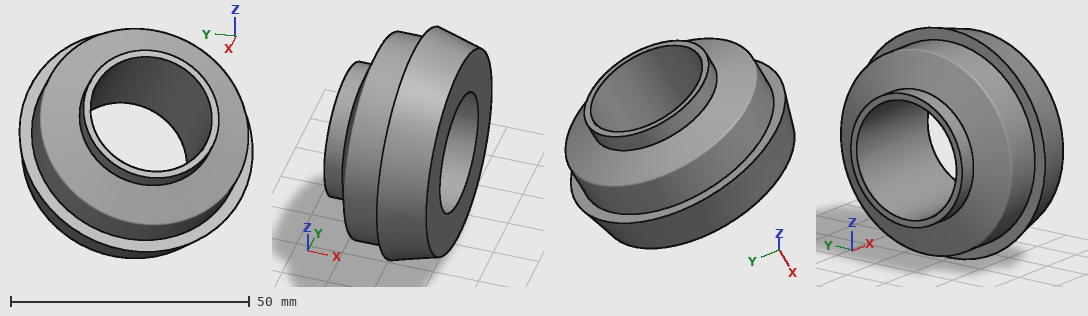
import cadquery as cq
import math

total_length = 25.0
neck_length = 4.0
collar_length = 10.0
collar_start = total_length - collar_length

bore_radius = 13.0
neck_radius = 14.5
body_radius = 22.35
collar_radius = 25.0

shoulder_angle = 20.0
collar_taper = 15.0
shoulder_round = 0.5

shoulder_rise = (body_radius - neck_radius) * math.tan(math.radians(shoulder_angle))
shoulder_end = neck_length + shoulder_rise
collar_end_radius = collar_radius - collar_length * math.tan(math.radians(collar_taper))

ring = (
    cq.Workplane("XY")
    .moveTo(0, bore_radius)
    .lineTo(0, neck_radius)
    .lineTo(neck_length, neck_radius)
    .lineTo(shoulder_end, body_radius)
    .lineTo(collar_start, body_radius)
    .lineTo(collar_start, collar_radius)
    .lineTo(total_length, collar_end_radius)
    .lineTo(total_length, bore_radius)
    .close()
    .revolve(360, (0, 0, 0), (1, 0, 0))
)

shoulder_edge = cq.selectors.BoxSelector(
    (shoulder_end - shoulder_round, -collar_radius, -collar_radius),
    (shoulder_end + shoulder_round, collar_radius, collar_radius),
    boundingbox=True,
)
result = ring.edges(shoulder_edge).fillet(shoulder_round)